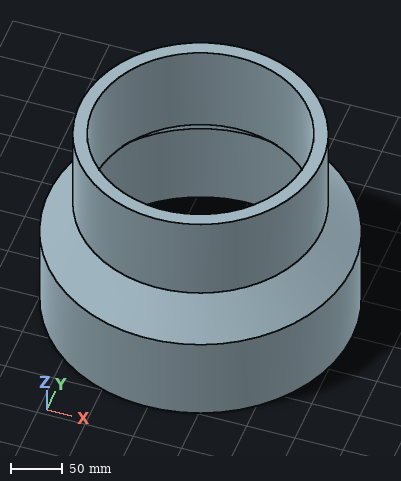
import cadquery as cq

wide_diameter = 315.0
narrow_diameter = 250.0
wide_wall = 18.0
narrow_wall = 14.2
total_height = 230.0
wide_length = 95.5
narrow_length = 95.5

inner_wide_length = wide_length
inner_narrow_length = 100.0

wide_radius = wide_diameter / 2
narrow_radius = narrow_diameter / 2
wide_bore_radius = wide_radius - wide_wall
narrow_bore_radius = narrow_radius - narrow_wall

wall_section = [
    (wide_bore_radius, 0),
    (wide_bore_radius, inner_wide_length),
    (narrow_bore_radius, total_height - inner_narrow_length),
    (narrow_bore_radius, total_height),
    (narrow_radius, total_height),
    (narrow_radius, total_height - narrow_length),
    (wide_radius, wide_length),
    (wide_radius, 0),
]

result = (
    cq.Workplane("XZ")
    .polyline(wall_section)
    .close()
    .revolve(360, (0, 0, 0), (0, 1, 0))
)